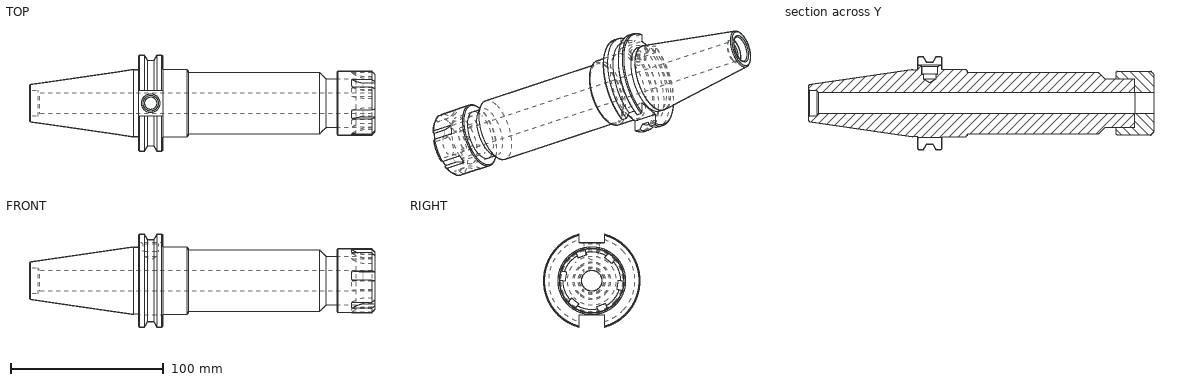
import cadquery as cq
import math


GAUGE_DIAMETER = 44.45
TAPER_LENGTH = 68.25
TAPER_RATIO = 7 / 24
TAPER_END_CHAMFER = 0.7
RELIEF_DIAMETER = 43.94

FLANGE_DIAMETER = 63.26
FLANGE_START = 3.18
FLANGE_WIDTH = 15.87
FLANGE_END = FLANGE_START + FLANGE_WIDTH
FLANGE_MIDDLE = FLANGE_START + FLANGE_WIDTH / 2
FLANGE_CHAMFER = 0.7
GROOVE_ROOT_DIAMETER = 56.36
GROOVE_ROOT_WIDTH = 4.2
GROOVE_SIDE_ANGLE = 30

NOTCH_WIDTH = 16.54
TOP_NOTCH_FLOOR = 25.0
BOTTOM_NOTCH_FLOOR = 22.6

SINK_DIAMETER = 12.2
SCREW_BORE_DIAMETER = 10.13
SCREW_BORE_DEPTH = 6.0
DRILL_DIAMETER = 8.0
DRILL_DEPTH = 9.0
DRILL_POINT_ANGLE = 118

COLLAR_END = 35.8
COLLAR_CHAMFER = 1.0
BODY_DIAMETER = 40.51
BODY_END = 121.6
NECK_DIAMETER = 32.0
NECK_START = 126.0

BORE_DIAMETER = 13.39
BORE_MOUTH_DIAMETER = 18.03
PILOT_DIAMETER = 16.46
PILOT_DEPTH = 5.5
BORE_CHAMFER_DIAMETER = 15.75

NUT_DIAMETER = 42.0
NUT_START = 133.1
NUT_END = 158.0
NUT_LENGTH = NUT_END - NUT_START
NUT_BACK_CHAMFER = 0.7
NUT_FRONT_CHAMFER = 2.1
NOSE_END = NUT_START + NUT_LENGTH / 2

SLOT_COUNT = 6
SLOT_WIDTH = 6.1
SLOT_LENGTH = 15.4
SLOT_FLOOR_LENGTH = 7.8
SLOT_FLOOR_RADIUS = 17.1
SLOT_ARC_SAG = 0.6
SLOT_TURN = 9.2

CUT_MARGIN = 2.0


def revolve_about_x(points):
    """Solid of revolution about X from (x, radius) points."""
    return cq.Workplane("XZ").polyline(points).close().revolve(360, (0, 0, 0), (1, 0, 0))


def holder_blank():
    """Taper, flange, collar, body and neck as one turned shape."""
    gauge_radius = GAUGE_DIAMETER / 2
    taper_end_radius = gauge_radius - TAPER_LENGTH * TAPER_RATIO / 2
    relief_radius = RELIEF_DIAMETER / 2
    flange_radius = FLANGE_DIAMETER / 2
    body_radius = BODY_DIAMETER / 2
    neck_radius = NECK_DIAMETER / 2
    return revolve_about_x([
        (-TAPER_LENGTH, 0),
        (-TAPER_LENGTH, taper_end_radius - TAPER_END_CHAMFER),
        (-TAPER_LENGTH + TAPER_END_CHAMFER, taper_end_radius + TAPER_END_CHAMFER * TAPER_RATIO / 2),
        (0, gauge_radius),
        (0, relief_radius),
        (FLANGE_START, relief_radius),
        (FLANGE_START, flange_radius - FLANGE_CHAMFER),
        (FLANGE_START + FLANGE_CHAMFER, flange_radius),
        (FLANGE_END - FLANGE_CHAMFER, flange_radius),
        (FLANGE_END, flange_radius - FLANGE_CHAMFER),
        (FLANGE_END, gauge_radius),
        (COLLAR_END - COLLAR_CHAMFER, gauge_radius),
        (COLLAR_END, gauge_radius - COLLAR_CHAMFER),
        (COLLAR_END, body_radius),
        (BODY_END, body_radius),
        (NECK_START, neck_radius),
        (NOSE_END, neck_radius),
        (NOSE_END, 0),
    ])


def flange_groove():
    """V groove with a flat root, cut around the flange rim."""
    root_radius = GROOVE_ROOT_DIAMETER / 2
    cut_radius = FLANGE_DIAMETER / 2 + CUT_MARGIN
    root_half = GROOVE_ROOT_WIDTH / 2
    side_run = (cut_radius - root_radius) * math.tan(math.radians(GROOVE_SIDE_ANGLE))
    return revolve_about_x([
        (FLANGE_MIDDLE - root_half, root_radius),
        (FLANGE_MIDDLE - root_half - side_run, cut_radius),
        (FLANGE_MIDDLE + root_half + side_run, cut_radius),
        (FLANGE_MIDDLE + root_half, root_radius),
    ])


def drive_notch(floor, direction):
    """Block that cuts one notch from its floor outwards, toward +Z or -Z."""
    height = FLANGE_DIAMETER / 2 - floor + CUT_MARGIN
    middle = direction * (floor + height / 2)
    return cq.Workplane("XY").box(FLANGE_WIDTH, NOTCH_WIDTH, height).translate((FLANGE_MIDDLE, 0, middle))


def screw_hole():
    """Countersunk, stepped hole with a drill point, going down from the top notch."""
    sink_radius = SINK_DIAMETER / 2
    bore_radius = SCREW_BORE_DIAMETER / 2
    drill_radius = DRILL_DIAMETER / 2
    point_depth = drill_radius / math.tan(math.radians(DRILL_POINT_ANGLE / 2))
    profile = [
        (0, 0),
        (sink_radius, 0),
        (bore_radius, -(sink_radius - bore_radius)),
        (bore_radius, -SCREW_BORE_DEPTH),
        (drill_radius, -SCREW_BORE_DEPTH),
        (drill_radius, -DRILL_DEPTH),
        (0, -DRILL_DEPTH - point_depth),
    ]
    hole = cq.Workplane("XZ").polyline(profile).close().revolve(360, (0, 0, 0), (0, 1, 0))
    return hole.translate((FLANGE_MIDDLE, 0, TOP_NOTCH_FLOOR))


def axial_bore():
    """Through bore with a chamfered mouth, a pilot bore and a cone down to the bore."""
    bore_radius = BORE_DIAMETER / 2
    mouth_radius = BORE_MOUTH_DIAMETER / 2
    pilot_radius = PILOT_DIAMETER / 2
    cone_radius = BORE_CHAMFER_DIAMETER / 2
    pilot_end = -TAPER_LENGTH + PILOT_DEPTH
    return revolve_about_x([
        (-TAPER_LENGTH, 0),
        (-TAPER_LENGTH, mouth_radius),
        (-TAPER_LENGTH + mouth_radius - pilot_radius, pilot_radius),
        (pilot_end, pilot_radius),
        (pilot_end, cone_radius),
        (pilot_end + cone_radius - bore_radius, bore_radius),
        (NUT_END, bore_radius),
        (NUT_END, 0),
    ])


def make_holder():
    holder = holder_blank().cut(flange_groove())
    holder = holder.cut(drive_notch(TOP_NOTCH_FLOOR, 1))
    holder = holder.cut(drive_notch(BOTTOM_NOTCH_FLOOR, -1))
    return holder.cut(screw_hole()).cut(axial_bore())


def nut_blank():
    """Ring with a recess at the back that fits the nose of the holder."""
    nut_radius = NUT_DIAMETER / 2
    nose_radius = NECK_DIAMETER / 2
    bore_radius = BORE_DIAMETER / 2
    return revolve_about_x([
        (NUT_START, nose_radius),
        (NUT_START, nut_radius - NUT_BACK_CHAMFER),
        (NUT_START + NUT_BACK_CHAMFER, nut_radius),
        (NUT_END - NUT_FRONT_CHAMFER, nut_radius),
        (NUT_END, nut_radius - NUT_FRONT_CHAMFER),
        (NUT_END, bore_radius),
        (NOSE_END, bore_radius),
        (NOSE_END, nose_radius),
    ])


def wrench_slot():
    """Slot open at the front face, with a flat floor that curves up to the rim at the back."""
    rim_radius = NUT_DIAMETER / 2
    slot_start = NUT_END - SLOT_LENGTH
    floor_start = NUT_END - SLOT_FLOOR_LENGTH
    run = floor_start - slot_start
    depth = rim_radius - SLOT_FLOOR_RADIUS
    chord = math.hypot(run, depth)
    arc_middle = (
        slot_start + run / 2 - SLOT_ARC_SAG * depth / chord,
        SLOT_FLOOR_RADIUS + depth / 2 - SLOT_ARC_SAG * run / chord,
    )
    return (
        cq.Workplane("XZ")
        .moveTo(NUT_END, rim_radius + CUT_MARGIN)
        .lineTo(NUT_END, SLOT_FLOOR_RADIUS)
        .lineTo(floor_start, SLOT_FLOOR_RADIUS)
        .threePointArc(arc_middle, (slot_start, rim_radius))
        .lineTo(slot_start, rim_radius + CUT_MARGIN)
        .close()
        .extrude(SLOT_WIDTH / 2, both=True)
    )


def make_nut():
    nut = nut_blank()
    slot = wrench_slot()
    slot_pitch = 360 / SLOT_COUNT
    for index in range(SLOT_COUNT):
        angle = 90 - SLOT_TURN + index * slot_pitch
        nut = nut.cut(slot.rotate((0, 0, 0), (1, 0, 0), angle))
    return nut


holder = make_holder()
nut = make_nut()

result = cq.Compound.makeCompound([holder.val(), nut.val()])